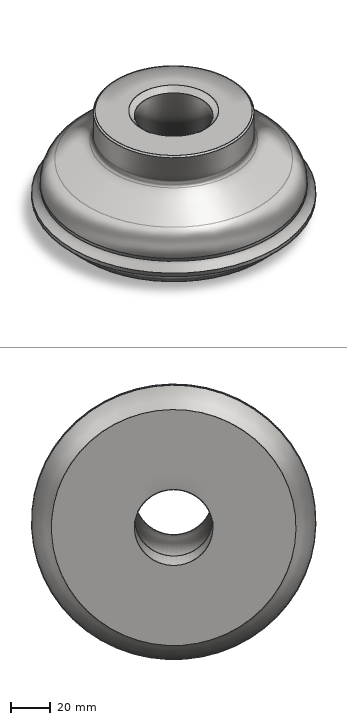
import cadquery as cq
import math

total_height = 63.0
rim_radius = 72.6
bore_radius = 40.0 / 2

base_bottom_radius = 62.4
dome_radius = 136.5 / 2
rim_band = 2.2
joint_height = 18.5
rim_low = rim_radius - base_bottom_radius
rim_high = rim_low + rim_band
seat_low = rim_high + rim_radius - dome_radius

shoulder_radius = 17.1
cone_slope = math.radians(34)
neck_radius = 82.0 / 2
neck_fillet = 4.0
neck_chamfer = 0.9
bore_chamfer = 2.9


def arc_point(center, radius, angle):
    """Point at the given angle on a circle in the radius-height plane."""
    return (center[0] + radius * math.cos(angle), center[1] + radius * math.sin(angle))


def make_base():
    outline = [
        (bore_radius, 0),
        (base_bottom_radius, 0),
        (rim_radius, rim_low),
        (rim_radius, rim_high),
        (dome_radius, seat_low),
        (dome_radius, joint_height),
        (bore_radius, joint_height),
    ]
    return cq.Workplane("XZ").polyline(outline).close().revolve(360, (0, 0), (0, 1))


def make_dome():
    normal = math.pi / 2 - cone_slope
    shoulder_center = (dome_radius - shoulder_radius, joint_height)
    shoulder_middle = arc_point(shoulder_center, shoulder_radius, normal / 2)
    shoulder_end = arc_point(shoulder_center, shoulder_radius, normal)

    fillet_x = neck_radius + neck_fillet
    center_run = shoulder_center[0] - fillet_x
    center_gap = shoulder_radius + neck_fillet
    fillet_z = joint_height + center_gap / math.cos(cone_slope) + center_run * math.tan(cone_slope)
    fillet_center = (fillet_x, fillet_z)
    fillet_start = arc_point(fillet_center, neck_fillet, math.pi + normal)
    fillet_middle = arc_point(fillet_center, neck_fillet, math.pi + normal / 2)

    return (
        cq.Workplane("XZ")
        .moveTo(bore_radius, joint_height)
        .lineTo(dome_radius, joint_height)
        .threePointArc(shoulder_middle, shoulder_end)
        .lineTo(*fillet_start)
        .threePointArc(fillet_middle, (neck_radius, fillet_z))
        .lineTo(neck_radius, total_height - neck_chamfer)
        .lineTo(neck_radius - neck_chamfer, total_height)
        .lineTo(bore_radius + bore_chamfer, total_height)
        .lineTo(bore_radius, total_height - bore_chamfer)
        .close()
        .revolve(360, (0, 0), (0, 1))
    )


base = make_base()
dome = make_dome()

result = cq.Compound.makeCompound([base.val(), dome.val()])